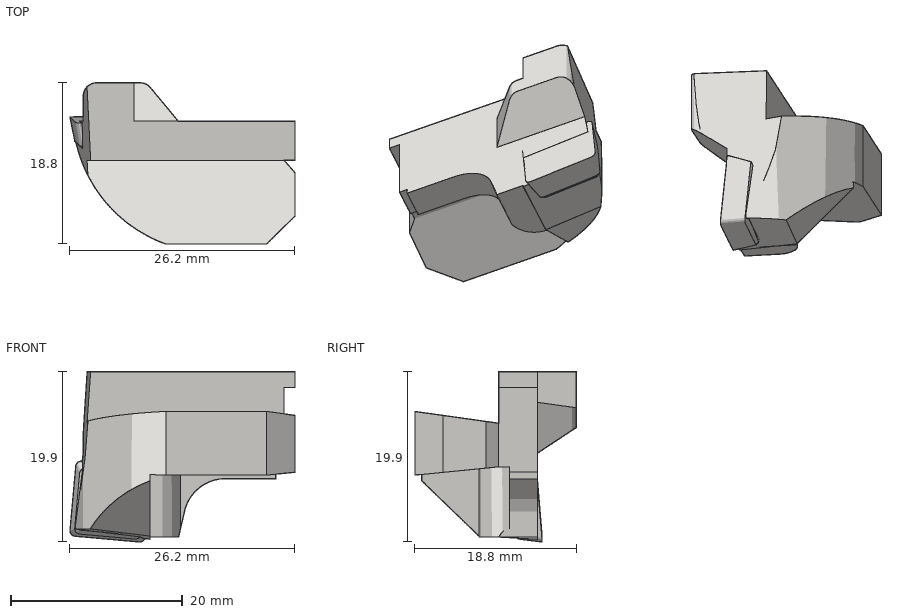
import cadquery as cq

LENGTH = 26.25
DEPTH = 18.8
TOP_Z = 19.85

WEB_FRONT_Y = 9.75
WEB_BACK_Y = 14.3
LIP_Z = 17.97
WEB_END_X = 24.95
WEB_FOOT_X = 23.98
WEB_FOOT_TOP_Z = 8.13
GULLET_Z = 7.37
GULLET_START_X = 17.97
GULLET_MID = (14.7, 5.98)
GULLET_END = (13.33, 3.4)
FOOT_X = 12.67
FOOT_Z = 0.58

FLANGE_TOP_FRONT_Z = 15.22
FLANGE_TOP_BACK_Z = 13.85
FLANGE_BOTTOM_FRONT_Z = 7.8
FLANGE_BOTTOM_BACK_Z = 8.76
ARC_FRONT_X = 11.18
ARC_MID = (5.83, 3.18)
ARC_LEFT = (0.75, 11.62)
FRONT_CHAMFER_X = 3.33
FRONT_CHAMFER_Y = 3.28
REAR_CHAMFER_Y = 1.47

WING_BOTTOM_BACK_Z = 13.33
WING_BOTTOM_FRONT_Z = 10.36
WING_STEP_X = 7.48
WING_CORNER_X = 8.92
WING_FOOT_X = 12.65
WING_CORNER_RADIUS = 3.2 / 2
WING_SHELF_Z = 16.27

SEAT_END_X = 9.35
SEAT_FILLET_RADIUS = 3.57
SEAT_SLOPE_TOP = (0.81, 7.1)
SEAT_SLOPE_BOTTOM = (7.45, 0.7)
GULLET_FRONT_Y = SEAT_SLOPE_BOTTOM[0] + SEAT_FILLET_RADIUS
SEAT_FALL = 0.12
SEAT_BACK_FALL = 0.055

CREASE_POINT = (1.55, WEB_BACK_Y, WING_BOTTOM_FRONT_Z)
UPPER_LEAN = (-0.049, 0.07)
LOWER_LEAN = (-0.053, 0.12)

INSERT_SIDE = 8.82
INSERT_THICKNESS = 3.18
INSERT_RADIUS = 0.68
INSERT_CHAMFER = 0.42
INSERT_RELIEF = 11.0
INSERT_CORNER = (-0.045, 14.83, 0.73)
INSERT_EDGE_TILT = 0.09
INSERT_RAKE_LEAN = -0.083

CUT_SIZE = 104.95


def half_space(point, normal):
    """Large block lying on the side of a plane to which the normal points."""
    plane = cq.Plane(origin=point, normal=normal)
    return cq.Workplane(plane).rect(CUT_SIZE, CUT_SIZE).extrude(CUT_SIZE)


def web_block(front_y):
    """Full web outline from the given front plane to the back of the web."""
    outline = (
        cq.Workplane("XZ", origin=(0, front_y, 0))
        .moveTo(0, TOP_Z)
        .lineTo(LENGTH, TOP_Z)
        .lineTo(LENGTH, LIP_Z)
        .lineTo(WEB_END_X, LIP_Z)
        .lineTo(WEB_END_X, WEB_FOOT_TOP_Z)
        .lineTo(WEB_FOOT_X, WEB_FOOT_TOP_Z)
        .lineTo(WEB_FOOT_X, GULLET_Z)
        .lineTo(GULLET_START_X, GULLET_Z)
        .threePointArc(GULLET_MID, GULLET_END)
        .lineTo(FOOT_X, FOOT_Z)
        .lineTo(SEAT_END_X, FOOT_Z)
        .lineTo(SEAT_END_X, WING_BOTTOM_FRONT_Z)
        .lineTo(0, WING_BOTTOM_FRONT_Z)
        .close()
    )
    return outline.extrude(front_y - WEB_BACK_Y)


def web():
    setback = cq.Workplane("XY").box(
        LENGTH, GULLET_FRONT_Y - WEB_FRONT_Y, FLANGE_BOTTOM_BACK_Z, centered=False
    ).translate((SEAT_END_X, WEB_FRONT_Y, 0))
    return web_block(WEB_FRONT_Y).cut(setback)


def flange():
    plan = (
        cq.Workplane("XY")
        .moveTo(ARC_FRONT_X, 0)
        .lineTo(LENGTH - FRONT_CHAMFER_X, 0)
        .lineTo(LENGTH, FRONT_CHAMFER_Y)
        .lineTo(LENGTH, WEB_FRONT_Y - REAR_CHAMFER_Y)
        .lineTo(WEB_END_X, WEB_FRONT_Y)
        .lineTo(ARC_LEFT[0], WEB_FRONT_Y)
        .lineTo(*ARC_LEFT)
        .threePointArc(ARC_MID, (ARC_FRONT_X, 0))
        .close()
        .extrude(TOP_Z)
    )
    profile = (
        cq.Workplane("YZ")
        .polyline([
            (0, FLANGE_BOTTOM_FRONT_Z),
            (0, FLANGE_TOP_FRONT_Z),
            (WEB_FRONT_Y, FLANGE_TOP_BACK_Z),
            (WEB_FRONT_Y, FLANGE_BOTTOM_BACK_Z),
        ])
        .close()
        .extrude(LENGTH)
    )
    return plan.intersect(profile)


def wing():
    plan = (
        cq.Workplane("XY")
        .polyline([
            (CREASE_POINT[0], WEB_BACK_Y),
            (CREASE_POINT[0], DEPTH),
            (WING_CORNER_X, DEPTH),
            (WING_FOOT_X, WEB_BACK_Y),
        ])
        .close()
        .extrude(TOP_Z)
        .edges("|Z and >Y")
        .fillet(WING_CORNER_RADIUS)
    )
    profile = (
        cq.Workplane("YZ")
        .polyline([
            (WEB_BACK_Y, TOP_Z),
            (DEPTH, TOP_Z),
            (DEPTH, WING_BOTTOM_BACK_Z),
            (WEB_BACK_Y, WING_BOTTOM_FRONT_Z),
        ])
        .close()
        .extrude(LENGTH)
    )
    shelf_slope = (FLANGE_TOP_FRONT_Z - FLANGE_TOP_BACK_Z) / WEB_FRONT_Y
    above_shelf = half_space((0, WEB_BACK_Y, WING_SHELF_Z), (0, shelf_slope, 1))
    beyond_step = half_space((WING_STEP_X, 0, 0), (1, 0, 0))
    return plan.intersect(profile).cut(above_shelf.intersect(beyond_step))


def seat_block():
    block = (
        cq.Workplane("XY")
        .moveTo(ARC_FRONT_X, 0)
        .lineTo(ARC_FRONT_X, WEB_BACK_Y)
        .lineTo(0, WEB_BACK_Y)
        .lineTo(*ARC_LEFT)
        .threePointArc(ARC_MID, (ARC_FRONT_X, 0))
        .close()
        .extrude(WING_BOTTOM_FRONT_Z)
        .cut(half_space((SEAT_END_X, 0, 0), (1, 0, 0)))
    )
    top_y, top_z = SEAT_SLOPE_TOP
    bottom_y, bottom_z = SEAT_SLOPE_BOTTOM
    front_fall = (top_z - bottom_z) / (bottom_y - top_y)
    corner = (SEAT_END_X, bottom_y, bottom_z)
    block = block.cut(half_space(corner, (-SEAT_FALL, -front_fall, -1)))
    return block.cut(half_space(corner, (-SEAT_FALL, -SEAT_BACK_FALL, -1)))


def seat_fillet():
    radius = SEAT_FILLET_RADIUS
    return (
        cq.Workplane("XY", origin=(0, 0, FOOT_Z))
        .moveTo(SEAT_END_X, SEAT_SLOPE_BOTTOM[0])
        .radiusArc((SEAT_END_X + radius, GULLET_FRONT_Y), -radius)
        .lineTo(SEAT_END_X, GULLET_FRONT_Y)
        .close()
        .extrude(FLANGE_BOTTOM_BACK_Z - FOOT_Z)
        .intersect(web_block(SEAT_SLOPE_BOTTOM[0]))
    )


def left_relief():
    """Space to the left of both leaning faces, which meet in a crease."""
    upper = half_space(CREASE_POINT, (-1, *UPPER_LEAN))
    lower = half_space(CREASE_POINT, (-1, *LOWER_LEAN))
    return upper.intersect(lower)


def make_insert():
    u = cq.Vector(1, 0, -INSERT_EDGE_TILT)
    v = cq.Vector(INSERT_EDGE_TILT, INSERT_RAKE_LEAN, 1)
    inward = u.cross(v)
    rake_plane = cq.Plane(origin=INSERT_CORNER, xDir=u, normal=inward)
    half = INSERT_SIDE / 2
    side_edges = cq.selectors.CenterNthSelector(inward, 1)
    return (
        cq.Workplane(rake_plane)
        .center(half, half)
        .rect(INSERT_SIDE, INSERT_SIDE)
        .extrude(INSERT_THICKNESS, taper=INSERT_RELIEF)
        .edges(side_edges)
        .fillet(INSERT_RADIUS)
        .faces("<Y")
        .chamfer(INSERT_CHAMFER)
    )


insert = make_insert()
holder = (
    web()
    .union(flange())
    .union(wing())
    .union(seat_block())
    .union(seat_fillet())
    .cut(left_relief())
    .cut(insert)
)

result = cq.Compound.makeCompound([holder.solids().val(), insert.solids().val()])